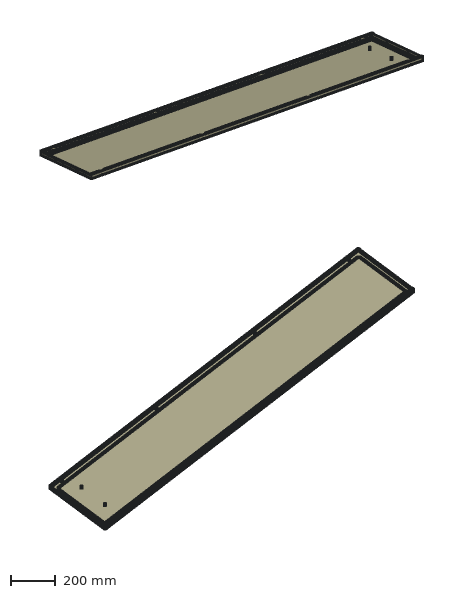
import cadquery as cq

WIDTH = 346.0
LENGTH = 1961.0
HEIGHT = 21.5

SHEET = 1.5
FLANGE_WIDTH = 11.0
END_WALL_HEIGHT = 18.0

FIXING_DIAMETER = 10.0
FIXING_X = 162.5
FIXING_OUTER_Y = 912.5
FIXING_INNER_Y = 312.5
FIXING_Y_POSITIONS = (-FIXING_OUTER_Y, -FIXING_INNER_Y, FIXING_INNER_Y, FIXING_OUTER_Y)
NOTCH_LENGTH = 25.0
NOTCH_DEPTH = 8.0

END_HOLE_DIAMETER = 6.0
END_HOLE_X = 71.0
END_HOLE_Z = HEIGHT / 2

GASKET_WIDTH = 6.3
GASKET_SIDE_HEIGHT = 2.0
GASKET_CROWN = 1.2
GASKET_CENTRE_X = 147.7
GASKET_CENTRE_Y = 957.4
GASKET_CORNER_RADIUS = 10.0

STUD_DIAMETER = 8.0
STUD_HEIGHT = 12.0
STUD_X = 73.0
STUD_Y = 880.0


def block(x_size, y_size, z_size, z_base=0.0):
    """Box centred on the Z axis, with its underside at z_base."""
    return (
        cq.Workplane("XY", origin=(0, 0, z_base))
        .box(x_size, y_size, z_size, centered=(True, True, False))
    )


def make_end_wall(side):
    """Wall across one end of the tray; side is -1 or 1 along Y."""
    wall = block(WIDTH - 2 * SHEET, SHEET, END_WALL_HEIGHT)
    wall = wall.translate((0, side * (LENGTH - SHEET) / 2, 0))
    holes = (
        cq.Workplane("XZ", origin=(0, side * LENGTH / 2, END_HOLE_Z))
        .pushPoints([(-END_HOLE_X, 0), (END_HOLE_X, 0)])
        .circle(END_HOLE_DIAMETER / 2)
        .extrude(SHEET, both=True)
    )
    return wall.cut(holes)


def make_tray():
    """Floor, two long C-shaped sides and two end walls, with fixing holes and notches."""
    underside_of_flange = HEIGHT - SHEET
    tray = block(WIDTH, LENGTH, HEIGHT)
    tray = tray.cut(block(WIDTH - 2 * SHEET, LENGTH, underside_of_flange - SHEET, SHEET))
    tray = tray.cut(block(WIDTH - 2 * FLANGE_WIDTH, LENGTH, SHEET, underside_of_flange))

    for side in (-1, 1):
        tray = tray.union(make_end_wall(side))

    fixing_points = [(side * FIXING_X, y) for side in (-1, 1) for y in FIXING_Y_POSITIONS]
    tray = tray.cut(cq.Workplane("XY").pushPoints(fixing_points).circle(FIXING_DIAMETER / 2).extrude(SHEET))

    width_across_notches = WIDTH - 2 * FLANGE_WIDTH + 2 * NOTCH_DEPTH
    for y in FIXING_Y_POSITIONS:
        notch_pair = block(width_across_notches, NOTCH_LENGTH, SHEET, underside_of_flange)
        tray = tray.cut(notch_pair.translate((0, y, 0)))
    return tray


def make_gasket():
    """Bead swept round a rectangle with rounded corners."""
    path = (
        block(2 * GASKET_CENTRE_X, 2 * GASKET_CENTRE_Y, GASKET_SIDE_HEIGHT, SHEET)
        .edges("|Z")
        .fillet(GASKET_CORNER_RADIUS)
        .faces("<Z")
        .wires()
        .val()
    )
    half_width = GASKET_WIDTH / 2
    return (
        cq.Workplane("XZ", origin=(GASKET_CENTRE_X, 0, SHEET))
        .moveTo(-half_width, 0)
        .lineTo(-half_width, GASKET_SIDE_HEIGHT)
        .threePointArc((0, GASKET_SIDE_HEIGHT + GASKET_CROWN), (half_width, GASKET_SIDE_HEIGHT))
        .lineTo(half_width, 0)
        .close()
        .sweep(cq.Workplane(path), transition="round")
    )


def make_stud(x):
    """Plain round stud standing on the floor."""
    return cq.Workplane("XY", origin=(x, STUD_Y, SHEET)).circle(STUD_DIAMETER / 2).extrude(STUD_HEIGHT)


tray = make_tray().solids()
gasket = make_gasket()
studs = [make_stud(side * STUD_X) for side in (-1, 1)]

result = cq.Compound.makeCompound([tray.val(), gasket.val(), *[stud.val() for stud in studs]])